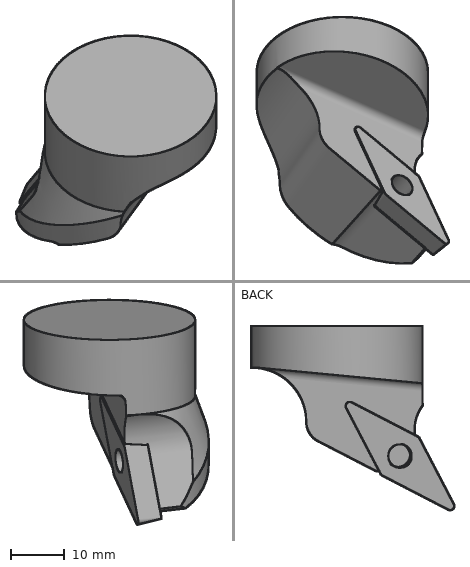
import cadquery as cq
import math

shank_diameter = 32.0
shank_radius = shank_diameter / 2
shank_length = 14.55

flare_angle = 20.0
head_depth = 34.85
head_radius = 19.0
head_center_x = -3.4
head_center_y = 1.4

scoop_radius = 10.0
scoop_center_x = 15.75
scoop_center_z = -17.8
heel_radius = 4.15
outline_margin = 30.3

point_angle = 35.0
inscribed_diameter = 9.55
insert_thickness = 4.77
insert_clearance = 7.0
insert_nose_radius = 0.8
insert_hole_diameter = 4.4
insert_center = (-11.75, 1.17, -24.23)
lower_edge_angle = 27.3
rake_slope_x = 0.07
rake_slope_z = 0.037

insert_protrusion = 0.3
chip_roof_z = -9.15
chip_roof_slope = 0.095
chip_fillet = 1.5

flank_setback = 0.9
lower_setback = 0.8
toe_flank_distance = 4.28
toe_lower_distance = 4.28
groove_radius = 7.57
groove_start_distance = 14.7
groove_sweep = 75.0
relief_end_distance = 15.9
relief_runout_radius = 3.03

upper_edge_angle = lower_edge_angle + point_angle
bisector_angle = lower_edge_angle + point_angle / 2
half_point = math.radians(point_angle / 2)
half_length = inscribed_diameter / 2 / math.sin(half_point)
half_width = inscribed_diameter / 2 / math.cos(half_point)

rake_plane = cq.Plane(
    origin=insert_center,
    xDir=(1, rake_slope_x, 0),
    normal=(rake_slope_x, -1, rake_slope_z),
)


def polar(distance, angle):
    """Vector of a given length and angle in degrees."""
    turn = math.radians(angle)
    return cq.Vector(distance * math.cos(turn), distance * math.sin(turn))


insert_tip = polar(-half_length, bisector_angle)


def flank_point(distance, setback):
    """Point along the upper cutting edge from the tip, set back into the head."""
    return insert_tip + polar(distance, upper_edge_angle) + polar(setback, upper_edge_angle - 90)


def lower_point(distance, setback):
    """Point along the lower cutting edge from the tip, set back into the head."""
    return insert_tip + polar(distance, lower_edge_angle) + polar(setback, lower_edge_angle + 90)


def make_insert_blank():
    diamond = (
        cq.Sketch()
        .polygon([
            (-half_length, 0), (0, -half_width), (half_length, 0), (0, half_width), (-half_length, 0),
        ])
        .vertices()
        .fillet(insert_nose_radius)
        .reset()
    )
    tilted = diamond.moved(cq.Location(cq.Vector(), cq.Vector(0, 0, 1), bisector_angle))
    return cq.Workplane(rake_plane).placeSketch(tilted).extrude(insert_thickness, taper=insert_clearance)


def make_insert():
    hole = cq.Workplane(rake_plane).circle(insert_hole_diameter / 2).extrude(insert_thickness)
    return make_insert_blank().cut(hole)


def make_side_outline():
    """Prism along Y bounded by the scoop, the rounded heel and the sloping lower side."""
    neck_x = scoop_center_x - scoop_radius
    scoop_top_z = scoop_center_z + scoop_radius
    scoop_mid = polar(scoop_radius, 135)
    heel_center_x = neck_x - heel_radius
    heel_mid = polar(heel_radius, (lower_edge_angle - 90) / 2)
    heel_end = polar(heel_radius, lower_edge_angle - 90)
    heel_end_x = heel_center_x + heel_end.x
    heel_end_z = scoop_center_z + heel_end.y
    lower_drop = (heel_end_x + outline_margin) * math.tan(math.radians(lower_edge_angle))
    return (
        cq.Workplane("XZ")
        .moveTo(-outline_margin, 0)
        .lineTo(outline_margin, 0)
        .lineTo(outline_margin, scoop_top_z)
        .lineTo(scoop_center_x, scoop_top_z)
        .threePointArc(
            (scoop_center_x + scoop_mid.x, scoop_center_z + scoop_mid.y), (neck_x, scoop_center_z)
        )
        .threePointArc(
            (heel_center_x + heel_mid.x, scoop_center_z + heel_mid.y), (heel_end_x, heel_end_z)
        )
        .lineTo(-outline_margin, heel_end_z - lower_drop)
        .close()
        .extrude(outline_margin, both=True)
    )


def make_blank():
    shank = cq.Workplane("XY").circle(shank_radius).extrude(-shank_length)
    flare_length = head_depth - shank_length
    flare_end_radius = shank_radius + flare_length * math.tan(math.radians(flare_angle))
    cone = cq.Workplane(
        cq.Solid.makeCone(
            shank_radius, flare_end_radius, flare_length, cq.Vector(0, 0, -shank_length), cq.Vector(0, 0, -1)
        )
    )
    trim = (
        cq.Workplane("XY")
        .center(head_center_x, head_center_y)
        .circle(head_radius)
        .extrude(-head_depth)
    )
    return shank.union(cone.intersect(trim)).intersect(make_side_outline())


def make_chip_space():
    """Space in front of the rake side, under a sloping roof with a filleted corner."""
    roof_rise = chip_roof_slope * outline_margin
    under_roof = (
        cq.Workplane("XZ")
        .polyline([
            (-outline_margin, chip_roof_z - roof_rise),
            (outline_margin, chip_roof_z + roof_rise),
            (outline_margin, -2 * outline_margin),
            (-outline_margin, -2 * outline_margin),
        ])
        .close()
        .extrude(outline_margin, both=True)
    )
    before_face = (
        cq.Workplane(rake_plane)
        .workplane(offset=insert_protrusion)
        .rect(4 * outline_margin, 4 * outline_margin)
        .extrude(-2 * outline_margin)
    )
    corner = cq.selectors.NearestToPointSelector((0, insert_center[1], chip_roof_z))
    return under_roof.intersect(before_face).edges(corner).fillet(chip_fillet)


def make_relief():
    """Cutter for the groove, flank, toe and lower relief, square to the rake plane."""
    groove_start = flank_point(groove_start_distance, flank_setback)
    groove_center = groove_start + polar(groove_radius, upper_edge_angle + 90)
    groove_angle = upper_edge_angle - 90
    groove_mid = groove_center + polar(groove_radius, groove_angle + groove_sweep / 2)
    groove_end = groove_center + polar(groove_radius, groove_angle + groove_sweep)
    runout_angle = math.acos(1 - lower_setback / relief_runout_radius)
    runout_length = relief_runout_radius * math.sin(runout_angle)
    runout_mid_length = relief_runout_radius * math.sin(runout_angle / 2)
    runout_mid_setback = lower_setback - relief_runout_radius * (1 - math.cos(runout_angle / 2))
    points = {
        "toe_flank": flank_point(toe_flank_distance, flank_setback),
        "toe_lower": lower_point(toe_lower_distance, lower_setback),
        "runout_start": lower_point(relief_end_distance, lower_setback),
        "runout_mid": lower_point(relief_end_distance + runout_mid_length, runout_mid_setback),
        "runout_end": lower_point(relief_end_distance + runout_length, 0),
    }
    flat = {name: (point.x, point.y) for name, point in points.items()}
    return (
        cq.Workplane(rake_plane)
        .workplane(offset=-outline_margin)
        .moveTo(groove_end.x, groove_end.y)
        .threePointArc((groove_mid.x, groove_mid.y), (groove_start.x, groove_start.y))
        .lineTo(*flat["toe_flank"])
        .lineTo(*flat["toe_lower"])
        .lineTo(*flat["runout_start"])
        .threePointArc(flat["runout_mid"], flat["runout_end"])
        .lineTo(flat["runout_end"][0], -outline_margin)
        .lineTo(-outline_margin, -outline_margin)
        .lineTo(-outline_margin, groove_end.y)
        .close()
        .extrude(2 * outline_margin)
    )


def make_holder():
    return make_blank().cut(make_chip_space()).cut(make_relief()).cut(make_insert_blank())


holder = make_holder()
insert = make_insert()

result = cq.Compound.makeCompound([*holder.vals(), *insert.vals()])